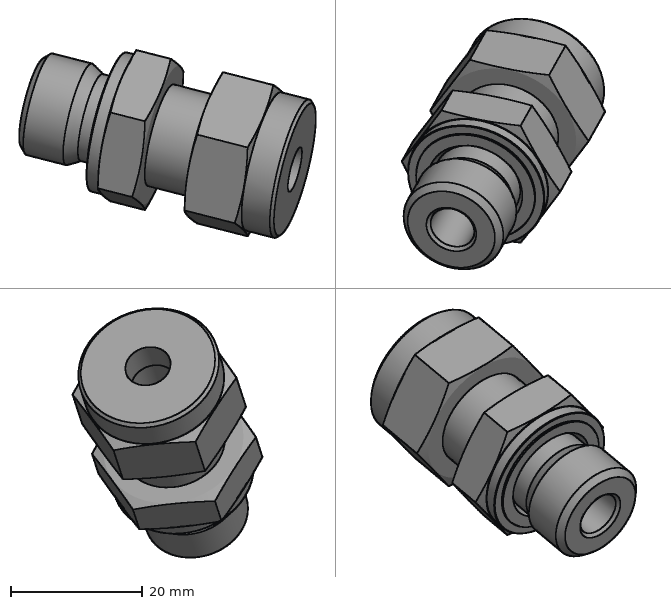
import cadquery as cq
import math


total_length = 41.9
thread_taper_start = 7.37
collar_start = 12.03
body_hex_start = 13.95
body_hex_end = 20.45
nut_start = 27.82
nut_hex_end = 36.87

bore_diameter = 7.0
thread_diameter = 16.0
relief_diameter = 13.7
undercut_diameter = 15.1
seal_lip_diameter = 19.02
collar_diameter = 21.9
nut_end_diameter = 21.8

hex_across_flats = 22.0
hex_across_corners = hex_across_flats / math.cos(math.radians(30))
hex_chamfer_circle = 21.7
hex_chamfer_angle = 15.0

thread_chamfer = 1.0
thread_taper_angle = 30.0
bore_chamfer = 0.5
seal_lip_height = 0.35
undercut_depth = 1.05
collar_chamfer = 0.1
nut_end_chamfer = 0.5


def cylinder(diameter, start, end):
    """Solid cylinder on the X axis between two stations."""
    return cq.Workplane("YZ").workplane(offset=start).circle(diameter / 2).extrude(end - start)


def revolve_about_x(points):
    """Solid of revolution from (station, radius) points."""
    return cq.Workplane("XY").polyline(points).close().revolve(360, (0, 0, 0), (1, 0, 0))


def chamfered_hexagon(start, end):
    """Hexagonal prism whose corners are turned off conically at both ends."""
    prism = cq.Workplane("YZ").workplane(offset=start).polygon(6, hex_across_corners).extrude(end - start)
    corner_radius = hex_across_corners / 2
    circle_radius = hex_chamfer_circle / 2
    set_back = (corner_radius - circle_radius) * math.tan(math.radians(hex_chamfer_angle))
    turned_envelope = revolve_about_x([
        (start, 0),
        (start, circle_radius),
        (start + set_back, corner_radius),
        (end - set_back, corner_radius),
        (end, circle_radius),
        (end, 0),
    ])
    return prism.intersect(turned_envelope)


def make_body():
    """Threaded stud, seal lip, collar, hexagon and plain shank around one bore."""
    thread_radius = thread_diameter / 2
    relief_radius = relief_diameter / 2
    taper_length = (thread_radius - relief_radius) / math.tan(math.radians(thread_taper_angle))
    stud = revolve_about_x([
        (0, 0),
        (0, thread_radius - thread_chamfer),
        (thread_chamfer, thread_radius),
        (thread_taper_start, thread_radius),
        (thread_taper_start + taper_length, relief_radius),
        (body_hex_start, relief_radius),
        (body_hex_start, 0),
    ])
    lip_face = collar_start - seal_lip_height
    seal_lip = cylinder(seal_lip_diameter, lip_face, collar_start)
    collar = cylinder(collar_diameter, collar_start, body_hex_start).faces("<X").chamfer(collar_chamfer)
    hexagon = chamfered_hexagon(body_hex_start, body_hex_end)
    shank = cylinder(thread_diameter, body_hex_end, nut_hex_end)

    undercut = revolve_about_x([
        (lip_face, relief_radius),
        (lip_face, undercut_diameter / 2),
        (lip_face + undercut_depth, relief_radius),
    ])

    bore_radius = bore_diameter / 2
    bore = revolve_about_x([
        (0, 0),
        (0, bore_radius + bore_chamfer),
        (bore_chamfer, bore_radius),
        (nut_hex_end, bore_radius),
        (nut_hex_end, 0),
    ])
    flange = seal_lip.union(collar).cut(undercut)
    return stud.union(flange).union(hexagon).union(shank).cut(bore)


def make_nut():
    """Hexagon nut with a round end, a recess for the body's shank and a through bore."""
    hexagon = chamfered_hexagon(nut_start, nut_hex_end)
    round_end = cylinder(nut_end_diameter, nut_hex_end, total_length).faces(">X").chamfer(nut_end_chamfer)
    shank_recess = cylinder(thread_diameter, nut_start, nut_hex_end)
    bore = cylinder(bore_diameter, nut_hex_end, total_length)
    return hexagon.union(round_end).cut(shank_recess).cut(bore)


body = make_body()
nut = make_nut()

result = cq.Compound.makeCompound([body.val(), nut.val()])